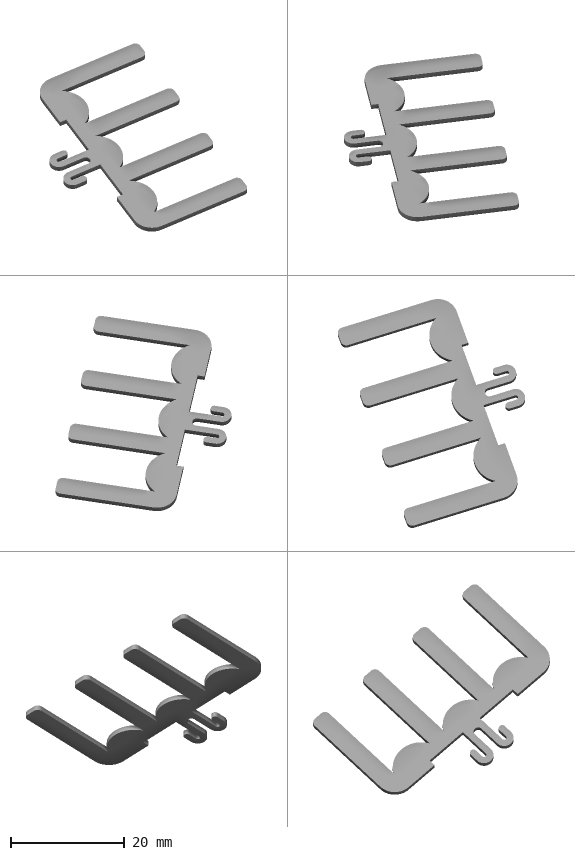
import cadquery as cq

length = 40.0
thickness = 1.0
corner_radius = 3.5

finger_width = 3.5
finger_top = 21.2
finger_tip_radius = 1.0
inner_finger_offset = 6.05
outer_finger_offset = (length - finger_width) / 2

base_top = 3.6
bump_radius = 5.0
bump_top = 6.3
bump_pitch = 12.2
notch_width = 20.3
notch_depth = 1.25

hook_bottom = -6.25
hook_tip = -2.35
strip_width = 1.25
hook_gap = 0.85
center_slot_width = 1.6
center_slot_top = 0.3


def block(left, right, bottom, top):
    """Rectangular piece of the plate between the given edges."""
    return (
        cq.Workplane("XY")
        .rect(right - left, top - bottom)
        .extrude(thickness)
        .translate(((left + right) / 2, (bottom + top) / 2, 0))
    )


def disc(x, y, radius):
    """Round piece of the plate."""
    return cq.Workplane("XY").center(x, y).circle(radius).extrude(thickness)


def finger(x):
    """Upright finger with rounded tip corners, starting above the base corner arcs."""
    body = block(x - finger_width / 2, x + finger_width / 2, corner_radius, finger_top)
    return body.edges("|Z and >Y").fillet(finger_tip_radius)


def base():
    """Base bar with rounded outer corners, bumps and the lower notch."""
    bar = block(-length / 2, length / 2, 0, base_top)
    bar = bar.edges("|Z and <Y").fillet(corner_radius)
    for x in (-bump_pitch, 0, bump_pitch):
        bump = disc(x, bump_top - bump_radius, bump_radius)
        bar = bar.union(bump.intersect(block(-length / 2, length / 2, corner_radius, bump_top)))
    return bar.cut(block(-notch_width / 2, notch_width / 2, 0, notch_depth))


def hook():
    """J-shaped strip on the +X side, curling outward and back up."""
    stem_inner = center_slot_width / 2
    stem_outer = stem_inner + strip_width
    tip_inner = stem_outer + hook_gap
    tip_outer = tip_inner + strip_width
    bend_radius = (tip_outer - stem_inner) / 2
    bend_y = hook_bottom + bend_radius
    tip_arc_y = hook_tip - strip_width / 2
    return (
        cq.Workplane("XY")
        .moveTo(stem_inner, notch_depth)
        .lineTo(stem_inner, bend_y)
        .threePointArc((stem_inner + bend_radius, hook_bottom), (tip_outer, bend_y))
        .lineTo(tip_outer, tip_arc_y)
        .threePointArc(((tip_inner + tip_outer) / 2, hook_tip), (tip_inner, tip_arc_y))
        .lineTo(tip_inner, bend_y)
        .threePointArc((stem_outer + hook_gap / 2, bend_y - hook_gap / 2), (stem_outer, bend_y))
        .lineTo(stem_outer, notch_depth)
        .close()
        .extrude(thickness)
    )


def hook_bridge():
    """Web joining both hooks to the base above the round-ended central slot."""
    slot_radius = center_slot_width / 2
    slot_arc_y = center_slot_top - slot_radius
    web = block(-slot_radius, slot_radius, slot_arc_y, notch_depth)
    return web.cut(disc(0, slot_arc_y, slot_radius))


result = base()

for offset in (inner_finger_offset, outer_finger_offset):
    for side in (-1, 1):
        result = result.union(finger(side * offset))

right_hook = hook()
result = result.union(right_hook).union(right_hook.mirror("YZ")).union(hook_bridge()).clean()